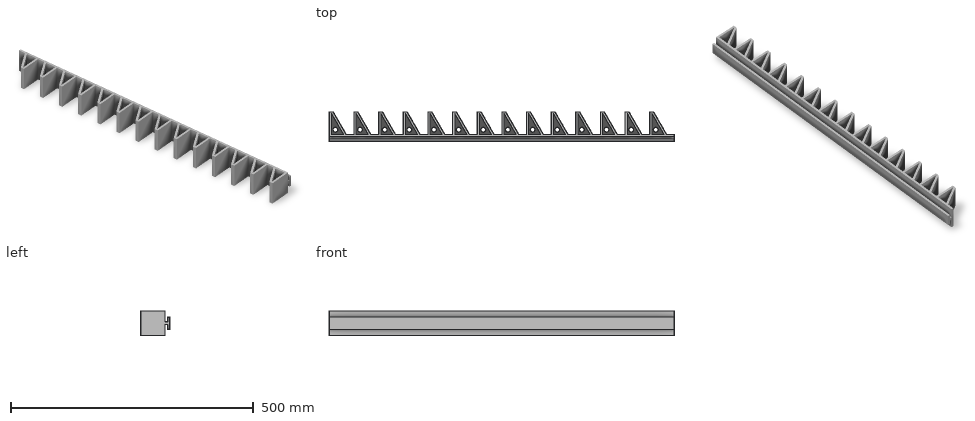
import cadquery as cq
import math

bracket_count = 14
pitch = 50.8
rail_length = bracket_count * pitch
height = 50.8
body_depth = 50.8
wall = 4.7625

runner_depth = 9.84
neck_length = 5.08
neck_height = 6.35
flange_height = 25.4
flange_thickness = runner_depth - neck_length

tip_width = 8.4
slope_angle = math.radians(30)
hole_diameter = 9.525
hole_from_bracket_side = 12.7
hole_from_plate = 9.525

plate_back = wall
bracket_tip = body_depth
mid_height = height / 2


def slope_x(y, inset):
    """X of the bracket's sloping side at depth y, moved inward by inset."""
    return tip_width + (bracket_tip - y) * math.tan(slope_angle) - inset / math.cos(slope_angle)


def make_plate():
    return cq.Workplane("XY").box(rail_length, wall, height, centered=False)


def make_runner():
    neck = (
        cq.Workplane("XY")
        .box(rail_length, neck_length, neck_height, centered=(False, False, True))
        .translate((0, -neck_length, mid_height))
    )
    flange = (
        cq.Workplane("XY")
        .box(rail_length, flange_thickness, flange_height, centered=(False, False, True))
        .translate((0, -runner_depth, mid_height))
    )
    return neck.union(flange)


def make_bracket():
    """One hollow bracket, open at the top, with a hole through its floor."""
    outline = [
        (0, plate_back),
        (slope_x(plate_back, 0), plate_back),
        (tip_width, bracket_tip),
        (0, bracket_tip),
    ]
    pocket_tip = plate_back + (slope_x(plate_back, wall) - wall) / math.tan(slope_angle)
    pocket_outline = [
        (wall, plate_back),
        (slope_x(plate_back, wall), plate_back),
        (wall, pocket_tip),
    ]
    block = cq.Workplane("XY").polyline(outline).close().extrude(height)
    pocket = (
        cq.Workplane("XY")
        .workplane(offset=wall)
        .polyline(pocket_outline)
        .close()
        .extrude(height - wall)
    )
    hole = (
        cq.Workplane("XY")
        .center(hole_from_bracket_side, plate_back + hole_from_plate)
        .circle(hole_diameter / 2)
        .extrude(wall)
    )
    return block.cut(pocket).cut(hole)


result = make_plate().union(make_runner())
bracket = make_bracket()
for index in range(bracket_count):
    result = result.union(bracket.translate((index * pitch, 0, 0)))